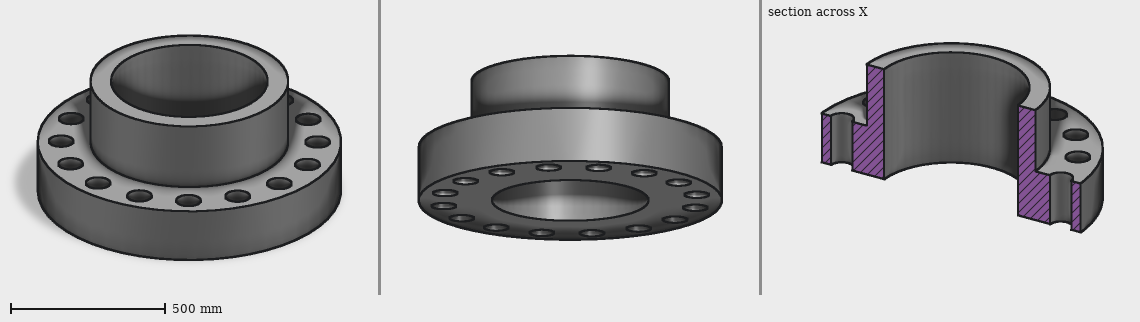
import cadquery as cq

flange_diameter = 984.0
flange_thickness = 178.0

hub_diameter = 642.0
total_height = 400.0
hub_height = total_height - flange_thickness

bore_diameter = 508.0

bolt_count = 16
bolt_circle_diameter = 832.0
bolt_hole_diameter = 80.0


def flange_with_hub():
    flange = cq.Workplane("XY").circle(flange_diameter / 2).extrude(flange_thickness)
    return flange.faces(">Z").workplane().circle(hub_diameter / 2).extrude(hub_height)


def bore():
    return cq.Workplane("XY").circle(bore_diameter / 2).extrude(total_height)


def bolt_holes():
    return (
        cq.Workplane("XY")
        .polarArray(bolt_circle_diameter / 2, 0, 360, bolt_count)
        .circle(bolt_hole_diameter / 2)
        .extrude(flange_thickness)
    )


result = flange_with_hub().cut(bore()).cut(bolt_holes())